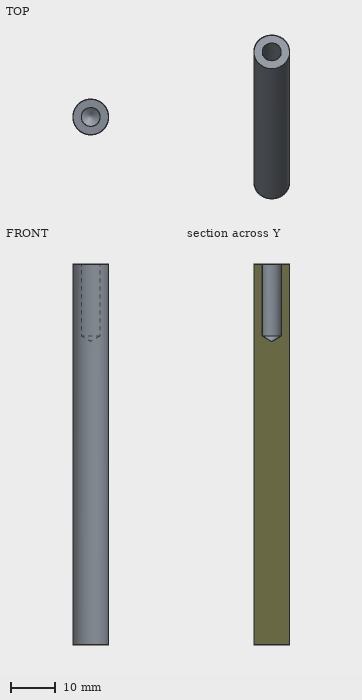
import cadquery as cq
import math

ROD_DIAMETER = 8.0
ROD_LENGTH = 85.0

HOLE_DIAMETER = 4.2
HOLE_DEPTH = 16.0
DRILL_POINT_ANGLE = 118.0


def make_rod():
    return cq.Workplane("XY").circle(ROD_DIAMETER / 2).extrude(ROD_LENGTH)


def make_drilled_hole():
    """Solid of revolution removed from the top end: a cylinder with a conical bottom."""
    radius = HOLE_DIAMETER / 2
    shoulder_z = ROD_LENGTH - HOLE_DEPTH
    tip_z = shoulder_z - radius / math.tan(math.radians(DRILL_POINT_ANGLE / 2))
    return (
        cq.Workplane("XZ")
        .moveTo(0, tip_z)
        .lineTo(radius, shoulder_z)
        .lineTo(radius, ROD_LENGTH)
        .lineTo(0, ROD_LENGTH)
        .close()
        .revolve(360, (0, 0, 0), (0, 1, 0))
    )


result = make_rod().cut(make_drilled_hole())